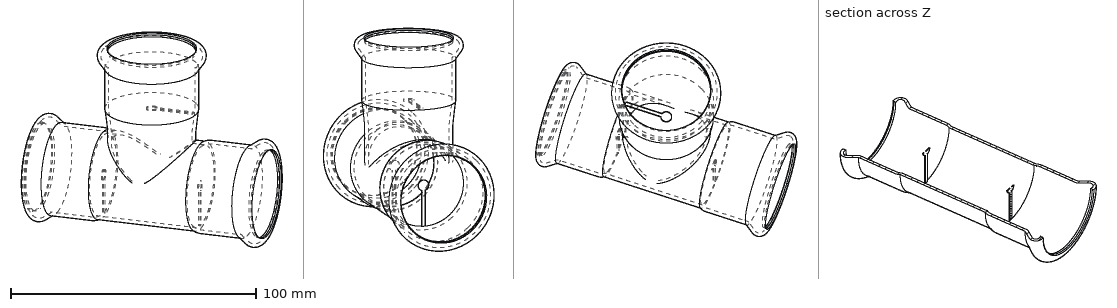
import cadquery as cq
import math

RUN_LENGTH = 99.0
RUN_HALF = RUN_LENGTH / 2
BRANCH_HEIGHT = 57.2

WALL = 1.5
SOCKET_RADIUS = 38.4 / 2
SOCKET_BORE_RADIUS = 35.3 / 2
LIP_RADIUS = 36.0 / 2
LIP_CHAMFER_WIDTH = 0.3
LIP_CHAMFER_DEPTH = 0.6
BEAD_RADIUS = 44.55 / 2
BEAD_END_DEPTH = 8.4
SOCKET_DEPTH = 26.1
BORE_BLEND = 1.6

RUN_RADIUS = 37.0 / 2
RUN_BORE_RADIUS = 34.0 / 2
RUN_STEP_END_DEPTH = 28.5

BRANCH_RADIUS = 36.0 / 2
BRANCH_BORE_RADIUS = 33.0 / 2
COLLAR_RADIUS = 36.1 / 2
SHOULDER_LENGTH = 0.3
SHOULDER_DROP = 0.1
TAPER_END_DEPTH = 35.5
COLLAR_END_DEPTH = 36.9

MARKER_DISC_RADIUS = 4.5 / 2
MARKER_BAR_WIDTH = 1.5
MARKER_THICKNESS = 0.5

BEAD_ARC_RADIUS = BEAD_RADIUS - SOCKET_RADIUS
BEAD_CENTRE_DEPTH = BEAD_ARC_RADIUS
CONE_SLOPE = math.asin(BEAD_ARC_RADIUS / (BEAD_END_DEPTH - BEAD_CENTRE_DEPTH))
CAVITY_ARC_RADIUS = BEAD_ARC_RADIUS - WALL
CAVITY_END_DEPTH = BEAD_CENTRE_DEPTH + (
    CAVITY_ARC_RADIUS - (SOCKET_BORE_RADIUS - SOCKET_RADIUS) * math.cos(CONE_SLOPE)
) / math.sin(CONE_SLOPE)


def bead_point(arc_radius, angle):
    """(radius, depth) on a bead arc; the angle runs from the crest towards the socket."""
    return (
        SOCKET_RADIUS + arc_radius * math.cos(angle),
        BEAD_CENTRE_DEPTH + arc_radius * math.sin(angle),
    )


def bead_arc(profile, arc_radius):
    """Continue a profile from the mouth side of the bead to the start of its cone."""
    mid_angle = (CONE_SLOPE - math.pi / 2) / 2
    return profile.threePointArc(bead_point(arc_radius, mid_angle), bead_point(arc_radius, CONE_SLOPE))


def revolved(profile):
    """Close a (radius, depth) profile and turn it about the depth axis."""
    return profile.close().revolve(360, (0, 0, 0), (0, 1, 0))


def socket_outline():
    """Outer profile from the mouth to the end of the socket."""
    profile = cq.Workplane("XZ").lineTo(SOCKET_RADIUS, 0)
    return (
        bead_arc(profile, BEAD_ARC_RADIUS)
        .lineTo(SOCKET_RADIUS, BEAD_END_DEPTH)
        .lineTo(SOCKET_RADIUS, SOCKET_DEPTH)
    )


def socket_bore():
    """Bore profile from the mouth, through the bead cavity, to the end of the socket."""
    tangent_length = BORE_BLEND * math.tan(CONE_SLOPE / 2)
    blend_start = (
        SOCKET_BORE_RADIUS + tangent_length * math.sin(CONE_SLOPE),
        CAVITY_END_DEPTH - tangent_length * math.cos(CONE_SLOPE),
    )
    blend_end = (SOCKET_BORE_RADIUS, CAVITY_END_DEPTH + tangent_length)
    profile = (
        cq.Workplane("XZ")
        .lineTo(LIP_RADIUS + LIP_CHAMFER_WIDTH, 0)
        .lineTo(LIP_RADIUS, LIP_CHAMFER_DEPTH)
        .lineTo(LIP_RADIUS, WALL)
        .lineTo(SOCKET_RADIUS, WALL)
    )
    return (
        bead_arc(profile, CAVITY_ARC_RADIUS)
        .lineTo(*blend_start)
        .tangentArcPoint(blend_end, relative=False)
        .lineTo(SOCKET_BORE_RADIUS, SOCKET_DEPTH)
    )


def run_socket_body():
    """Solid outside of one run socket; its end rounds over onto the tube."""
    return revolved(
        socket_outline()
        .tangentArcPoint((RUN_RADIUS, RUN_STEP_END_DEPTH), relative=False)
        .lineTo(0, RUN_STEP_END_DEPTH)
    )


def run_socket_bore():
    return revolved(
        socket_bore()
        .tangentArcPoint((RUN_BORE_RADIUS, RUN_STEP_END_DEPTH), relative=False)
        .lineTo(0, RUN_STEP_END_DEPTH)
    )


def run_cylinder(radius):
    """Cylinder along X between the two run sockets."""
    half_length = RUN_HALF - RUN_STEP_END_DEPTH
    return cq.Workplane("YZ").circle(radius).extrude(half_length, both=True)


def branch_body():
    """Solid outside of the branch, down to the run axis."""
    return revolved(
        socket_outline()
        .lineTo(SOCKET_RADIUS - SHOULDER_DROP, SOCKET_DEPTH + SHOULDER_LENGTH)
        .lineTo(COLLAR_RADIUS, TAPER_END_DEPTH)
        .lineTo(BRANCH_RADIUS, COLLAR_END_DEPTH)
        .lineTo(BRANCH_RADIUS, BRANCH_HEIGHT)
        .lineTo(0, BRANCH_HEIGHT)
    )


def branch_bore():
    return revolved(
        socket_bore()
        .lineTo(BRANCH_BORE_RADIUS, TAPER_END_DEPTH)
        .lineTo(BRANCH_BORE_RADIUS, BRANCH_HEIGHT)
        .lineTo(0, BRANCH_HEIGHT)
    )


def marker(depth, bore_radius):
    """Disc and bar lying across the bore, the bar along +X with its end fitted to the bore."""
    disc = cq.Workplane("XY").circle(MARKER_DISC_RADIUS).extrude(MARKER_THICKNESS)
    bar = (
        cq.Workplane("XY")
        .rect(2 * bore_radius, MARKER_BAR_WIDTH)
        .extrude(MARKER_THICKNESS)
        .intersect(cq.Workplane("XY").circle(bore_radius).extrude(MARKER_THICKNESS))
        .intersect(cq.Workplane("XY").box(bore_radius, MARKER_BAR_WIDTH, MARKER_THICKNESS, (False, True, False)))
    )
    return disc.union(bar).translate((0, 0, depth))


def at_left_mouth(part):
    """Depth along +X; the part's +X becomes -Z."""
    return part.rotate((0, 0, 0), (0, 1, 0), 90).translate((-RUN_HALF, 0, 0))


def at_right_mouth(part):
    """Mirror image of the left end."""
    return at_left_mouth(part).mirror("YZ")


def at_branch_mouth(part):
    """Depth along -Z; the part's +X stays +X."""
    return part.mirror("XY").translate((0, 0, BRANCH_HEIGHT))


def tee():
    """Outer shapes joined first, then every bore cut through them."""
    body = run_cylinder(RUN_RADIUS).union(at_branch_mouth(branch_body()))
    for place in (at_left_mouth, at_right_mouth):
        body = body.union(place(run_socket_body()))
    body = body.cut(run_cylinder(RUN_BORE_RADIUS)).cut(at_branch_mouth(branch_bore()))
    for place in (at_left_mouth, at_right_mouth):
        body = body.cut(place(run_socket_bore()))
    return body


def insertion_markers():
    """Run markers stand just past the bore step; the branch marker ends flush with its socket."""
    markers = []
    for place in (at_left_mouth, at_right_mouth):
        markers.append(place(marker(RUN_STEP_END_DEPTH, RUN_BORE_RADIUS)))
    branch_marker_depth = SOCKET_DEPTH - MARKER_THICKNESS
    markers.append(at_branch_mouth(marker(branch_marker_depth, SOCKET_BORE_RADIUS)))
    return markers


fitting = tee()
markers = insertion_markers()
result = cq.Compound.makeCompound([fitting.solids().val(), *[item.val() for item in markers]])